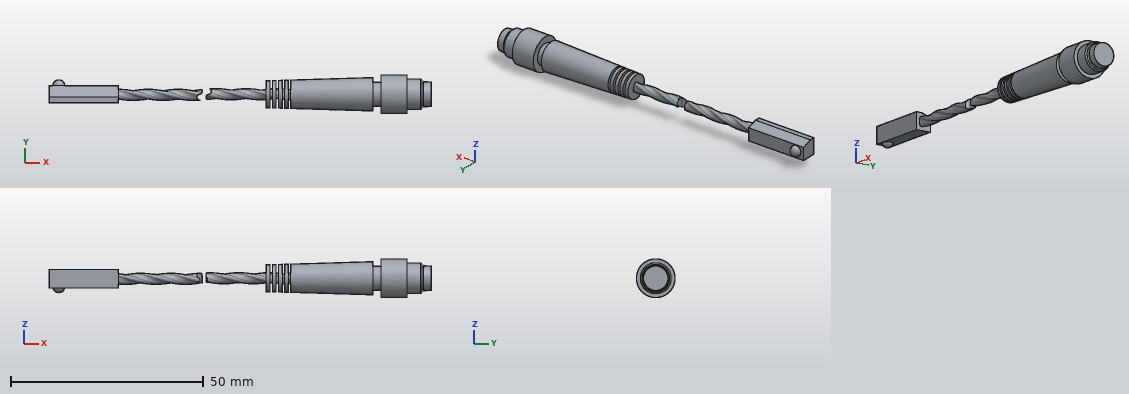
import cadquery as cq
import math


head_length = 18.0
head_width = 4.5
head_top = 2.3
head_bottom = -2.6
slope_start_y = -0.7
slope_end_z = 1.3

button_radius = 1.6
button_x = 2.5
button_reach = 3.8
side_button_z = -0.5
under_button_y = -0.5

cable_radius = 1.5
corner_count = 3
corner_radius = 0.7
twist_pitch = 23.5
head_cable_y = -0.15
head_cable_z = -0.15
head_cable_angle = 1
plug_cable_angle = 54
break_start_x = 39.2
break_gap = 2.3
break_end_x = break_start_x + break_gap
break_bulge = 0.7

grip_start_x = 56.4
grip_end_x = 84.2
grip_start_diameter = 7.1
grip_end_diameter = 8.7
groove_count = 4
groove_pitch = 1.6
rib_width = 1.0
neck_diameter = 6.4
collar_start_x = 86.3
collar_end_x = 93.1
collar_diameter = 10.1
shoulder_end_x = 97.0
shoulder_diameter = 8.0
shoulder_chamfer = 0.4
tip_groove_diameter = 5.8
tip_start_x = 97.4
tip_end_x = 99.4
tip_start_diameter = 6.7
tip_end_diameter = 6.4


def cylinder_along_x(start_x, end_x, diameter):
    return cq.Workplane("YZ").workplane(offset=start_x).circle(diameter / 2).extrude(end_x - start_x)


def cone_along_x(start_x, end_x, start_diameter, end_diameter):
    return (
        cq.Workplane("XY")
        .moveTo(start_x, 0)
        .lineTo(start_x, start_diameter / 2)
        .lineTo(end_x, end_diameter / 2)
        .lineTo(end_x, 0)
        .close()
        .revolve(360, (0, 0, 0), (1, 0, 0))
    )


def cable_profile(start_x):
    """Rounded triangle: an arc at each corner, joined by straight tangent sides."""
    corner_offset = cable_radius - corner_radius

    def corner_point(corner_angle, normal_angle):
        return (
            corner_offset * math.cos(corner_angle) + corner_radius * math.cos(normal_angle),
            corner_offset * math.sin(corner_angle) + corner_radius * math.sin(normal_angle),
        )

    half_step = math.pi / corner_count
    profile = cq.Workplane("YZ").workplane(offset=start_x).moveTo(*corner_point(0, -half_step))
    for i in range(corner_count):
        angle = 2 * half_step * i
        next_angle = angle + 2 * half_step
        profile = profile.threePointArc(corner_point(angle, angle), corner_point(angle, angle + half_step))
        if i < corner_count - 1:
            profile = profile.lineTo(*corner_point(next_angle, next_angle - half_step))
    return profile.close()


def twisted_cable(start_x, end_x, start_angle):
    length = end_x - start_x
    cable = cable_profile(start_x).twistExtrude(length, 360 * length / twist_pitch)
    return cable.rotate((0, 0, 0), (1, 0, 0), start_angle)


def cable_side(break_x, far_x):
    """Block from far_x up to the S-shaped break line, taller and wider than the cable."""
    half_width = 2 * cable_radius
    arc_chord = cable_radius
    return (
        cq.Workplane("XY")
        .workplane(offset=-half_width)
        .moveTo(far_x, -half_width)
        .lineTo(break_x, -half_width)
        .lineTo(break_x, -arc_chord)
        .threePointArc((break_x - break_bulge, -arc_chord / 2), (break_x, 0))
        .threePointArc((break_x + break_bulge, arc_chord / 2), (break_x, arc_chord))
        .lineTo(break_x, half_width)
        .lineTo(far_x, half_width)
        .close()
        .extrude(2 * half_width)
    )


def make_button(y, z):
    return cq.Workplane("XY").sphere(button_radius).translate((button_x, y, z))


def make_head():
    """Nearly square bar whose top slopes down to the +Y side, with its two buttons."""
    half_width = head_width / 2
    bar = (
        cq.Workplane("YZ")
        .moveTo(-half_width, head_bottom)
        .lineTo(-half_width, head_top)
        .lineTo(slope_start_y, head_top)
        .lineTo(half_width, slope_end_z)
        .lineTo(half_width, head_bottom)
        .close()
        .extrude(head_length)
    )
    seat = button_reach - button_radius
    return bar.union(make_button(seat, side_button_z)).union(make_button(under_button_y, -seat))


def make_grip():
    """Tapered grip, whose cable end is cut into thin ribs by grooves reaching down to the cable."""
    grip = cone_along_x(grip_start_x, grip_end_x, grip_start_diameter, grip_end_diameter)
    groove_width = groove_pitch - rib_width
    for i in range(groove_count):
        start_x = grip_start_x + i * groove_pitch + rib_width
        grip = grip.cut(cylinder_along_x(start_x, start_x + groove_width, grip_end_diameter))
    return grip


def make_connector():
    """Neck, collar, chamfered shoulder and, behind a narrow groove, the tapered tip."""
    neck = cylinder_along_x(grip_end_x, collar_start_x, neck_diameter)
    collar = cylinder_along_x(collar_start_x, collar_end_x, collar_diameter)
    shoulder = cylinder_along_x(collar_end_x, shoulder_end_x, shoulder_diameter)
    shoulder = shoulder.faces(">X").chamfer(shoulder_chamfer)
    tip_groove = cylinder_along_x(shoulder_end_x, tip_start_x, tip_groove_diameter)
    tip = cone_along_x(tip_start_x, tip_end_x, tip_start_diameter, tip_end_diameter)
    return neck.union(collar).union(shoulder).union(tip_groove).union(tip)


def make_sensor():
    cable = twisted_cable(head_length, break_end_x, head_cable_angle)
    cable = cable.translate((0, head_cable_y, head_cable_z))
    return make_head().union(cable.intersect(cable_side(break_start_x, 0)))


def make_plug():
    cable = twisted_cable(break_start_x, grip_end_x, plug_cable_angle)
    cable = cable.intersect(cable_side(break_end_x, grip_end_x))
    return cable.union(make_grip()).union(make_connector())


sensor = make_sensor()
plug = make_plug()

result = cq.Compound.makeCompound([sensor.val(), plug.val()])